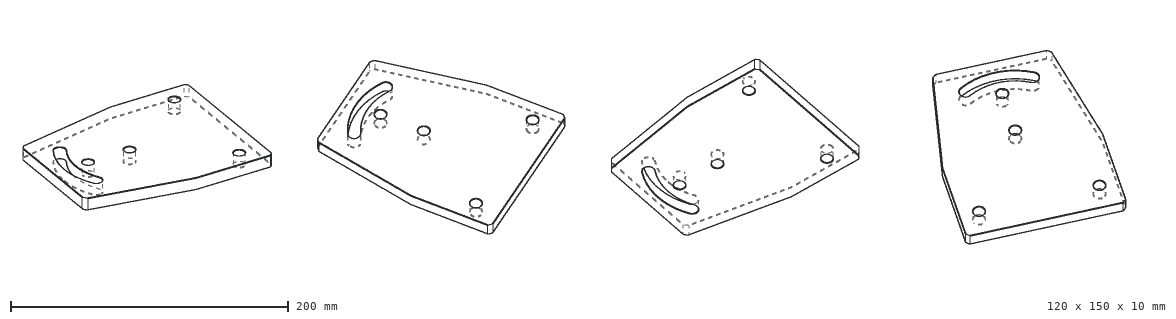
import cadquery as cq
import math

length = 150.0
width = 120.0
thickness = 10.0
front_width = 88.0
taper_length = 85.0
corner_chamfer = 2.8
edge_chamfer = 0.5

hole_diameter = 8.5
rear_hole_spacing = 90.0
rear_hole_y = length - 20.0
pivot_y = 65.0
front_hole_y = 30.0

slot_width = 9.0
slot_radius = 50.2
slot_half_angle = 30.0


def make_blank():
    """Sharp-edged plate tapering toward the front."""
    outline = [
        (-front_width / 2, 0),
        (front_width / 2, 0),
        (width / 2, taper_length),
        (width / 2, length),
        (-width / 2, length),
        (-width / 2, taper_length),
    ]
    return cq.Workplane("XY").polyline(outline).close().extrude(thickness)


def make_holes():
    centers = [
        (-rear_hole_spacing / 2, rear_hole_y),
        (rear_hole_spacing / 2, rear_hole_y),
        (0, pivot_y),
        (0, front_hole_y),
    ]
    return cq.Workplane("XY").pushPoints(centers).circle(hole_diameter / 2).extrude(thickness)


def slot_point(radius, angle):
    """Point at a radius from the pivot, with the angle measured from straight forward."""
    turn = math.radians(angle)
    return (radius * math.sin(turn), pivot_y - radius * math.cos(turn))


def make_slot():
    inner = slot_radius - slot_width / 2
    outer = slot_radius + slot_width / 2
    end_x, end_y = slot_point(slot_radius, slot_half_angle)
    turn = math.radians(slot_half_angle)
    reach_x = slot_width / 2 * math.cos(turn)
    reach_y = slot_width / 2 * math.sin(turn)
    return (
        cq.Workplane("XY")
        .moveTo(*slot_point(outer, -slot_half_angle))
        .threePointArc(slot_point(outer, 0), slot_point(outer, slot_half_angle))
        .threePointArc((end_x + reach_x, end_y + reach_y), slot_point(inner, slot_half_angle))
        .threePointArc(slot_point(inner, 0), slot_point(inner, -slot_half_angle))
        .threePointArc((-end_x - reach_x, end_y + reach_y), slot_point(outer, -slot_half_angle))
        .close()
        .extrude(thickness)
    )


def break_edges(body):
    """Chamfer every edge of the top and bottom faces, including hole and slot rims."""
    return body.faces("<Z or >Z").edges().chamfer(edge_chamfer)


def bevel_corners(body):
    """Trim the four outer corners with flat bevels that run the full thickness."""
    envelope = make_blank().edges("|Z and (<Y or >Y)").chamfer(corner_chamfer)
    return body.intersect(envelope)


pierced_plate = make_blank().cut(make_holes()).cut(make_slot())
result = bevel_corners(break_edges(pierced_plate))